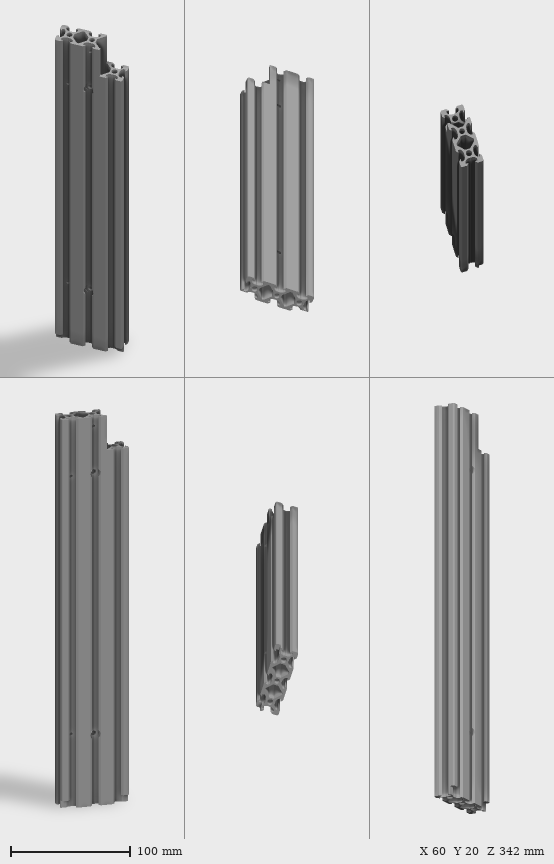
import cadquery as cq

LENGTH = 342.0
WIDTH = 60.0
CELL_COUNT = 3
PITCH = WIDTH / CELL_COUNT
HALF = PITCH / 2
CORNER_RADIUS = 1.5

MOUTH_WIDTH = 9.2
NECK_WIDTH = 5.8
LIP_THICKNESS = 1.88
CAVITY_WIDTH = 10.3
FLOOR_WIDTH = 7.5
FLOOR_RIM_DEPTH = 5.0
FLAT_WIDTH = 4.0
FLOOR_DEPTH = 5.8
GROOVE_WIDTH = 0.7

END_BORE_DIAMETER = 5.0
MIDDLE_BORE_DIAMETER = 4.8
HOLLOW_HEIGHT = 15.0
HOLLOW_TOP_WIDTH = 1.7
HOLLOW_SIDE_OFFSET = 3.8

STEP_HEIGHT = 30.0
RELIEF_HEIGHT = 7.0
RELIEF_DEPTH = 4.0

SCREW_HOLE_DIAMETER = 4.5
COUNTERBORE_DIAMETER = 9.0
SCREW_HOLE_DROPS = [50.0, 279.8]
PIN_HOLE_DIAMETER = 2.85
THROUGH_PIN_DROP = 10.0
BLIND_PIN_DROPS = [52.0, 278.7]

CELL_CENTRES = [(i - (CELL_COUNT - 1) / 2) * PITCH for i in range(CELL_COUNT)]
FRONT = -HALF


def slot_cutter(x, turn):
    """Slot of the cell at x; turn 0 opens toward +Y, and turns are counter-clockwise degrees."""
    mouth_slope = (MOUTH_WIDTH - NECK_WIDTH) / 2
    cavity_depth = FLOOR_RIM_DEPTH - (CAVITY_WIDTH - FLOOR_WIDTH) / 2
    right_side = [
        (MOUTH_WIDTH / 2, 0),
        (NECK_WIDTH / 2, mouth_slope),
        (NECK_WIDTH / 2, LIP_THICKNESS),
        (CAVITY_WIDTH / 2, LIP_THICKNESS),
        (CAVITY_WIDTH / 2, cavity_depth),
        (FLOOR_WIDTH / 2, FLOOR_RIM_DEPTH),
        (FLAT_WIDTH / 2, FLOOR_DEPTH),
        (GROOVE_WIDTH / 2, FLOOR_DEPTH),
    ]
    groove_bottom = (0, FLOOR_DEPTH + GROOVE_WIDTH / 2)
    left_side = [(-across, depth) for across, depth in reversed(right_side)]
    outline = [(across, HALF - depth) for across, depth in right_side + [groove_bottom] + left_side]
    slot = cq.Workplane("XY").polyline(outline).close().extrude(LENGTH)
    return slot.rotate((0, 0, 0), (0, 0, 1), turn).translate((x, 0, 0))


def hollow_cutter(x):
    """Eight-sided hollow with 45 degree corners, between two cells."""
    width = PITCH - 2 * HOLLOW_SIDE_OFFSET
    corner = (width - HOLLOW_TOP_WIDTH) / 2
    hollow = cq.Workplane("XY").rect(width, HOLLOW_HEIGHT).extrude(LENGTH)
    return hollow.edges("|Z").chamfer(corner).translate((x, 0, 0))


def cross_hole(x, drop, diameter, start, depth):
    """Round hole running toward +Y from y = start."""
    axis = cq.Vector(0, 1, 0)
    centre = cq.Vector(x, start, LENGTH - drop)
    return cq.Workplane(cq.Solid.makeCylinder(diameter / 2, depth, centre, axis))


def extrusion():
    rail = cq.Workplane("XY").rect(WIDTH, PITCH).extrude(LENGTH)
    rail = rail.edges("|Z").fillet(CORNER_RADIUS)
    for x in CELL_CENTRES:
        rail = rail.cut(slot_cutter(x, 0)).cut(slot_cutter(x, 180))
        bore = MIDDLE_BORE_DIAMETER if x == 0 else END_BORE_DIAMETER
        rail = rail.cut(cq.Workplane("XY").center(x, 0).circle(bore / 2).extrude(LENGTH))
    rail = rail.cut(slot_cutter(CELL_CENTRES[0], 90)).cut(slot_cutter(CELL_CENTRES[-1], -90))
    for x in CELL_CENTRES[:-1]:
        rail = rail.cut(hollow_cutter(x + HALF))
    return rail


result = extrusion()

step = cq.Workplane("XY").box(PITCH, PITCH, STEP_HEIGHT)
result = result.cut(step.translate((CELL_CENTRES[-1], 0, LENGTH - STEP_HEIGHT / 2)))

relief = cq.Workplane("XY").box(HALF, RELIEF_DEPTH, RELIEF_HEIGHT)
for side in (-1, 1):
    relief_x = side * (WIDTH - HALF) / 2
    result = result.cut(relief.translate((relief_x, FRONT + RELIEF_DEPTH / 2, RELIEF_HEIGHT / 2)))

for drop in SCREW_HOLE_DROPS:
    result = result.cut(cross_hole(0, drop, SCREW_HOLE_DIAMETER, FRONT, PITCH))
    result = result.cut(cross_hole(0, drop, COUNTERBORE_DIAMETER, FRONT, FLOOR_DEPTH))

result = result.cut(cross_hole(0, THROUGH_PIN_DROP, PIN_HOLE_DIAMETER, FRONT, PITCH))
for drop in BLIND_PIN_DROPS:
    result = result.cut(cross_hole(CELL_CENTRES[0], drop, PIN_HOLE_DIAMETER, FRONT, HALF))